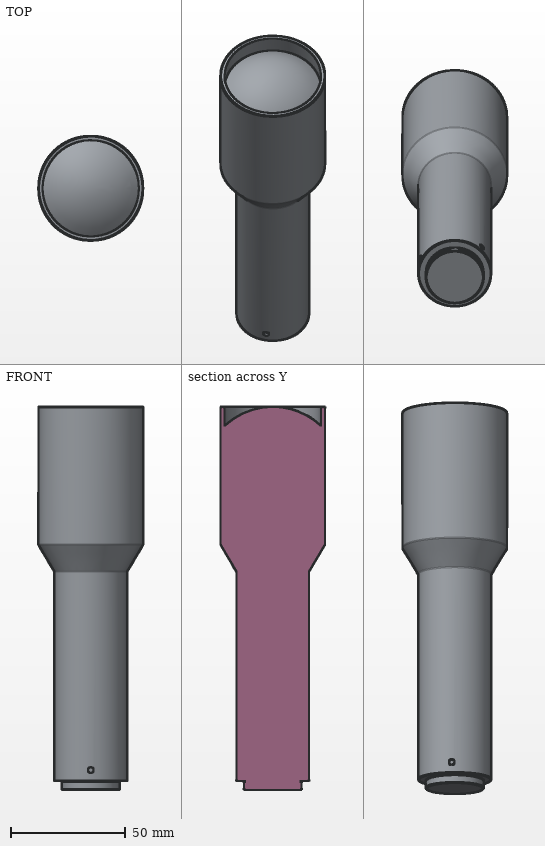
import cadquery as cq
import math

total_length = 167.6

head_diameter = 46.0
head_bottom = 107.3
rim_chamfer = 0.3
bore_diameter = 42.0
lens_edge_depth = 8.2

tube_diameter = 32.0
tube_top = 95.5
cone_fillet = 1.0
corner_margin = 0.2
ring_bottom = 3.9
ring_edge_chamfer = 0.3

mount_diameter = 25.5
relief_diameter = 24.6
relief_height = 0.3
mount_chamfer = (mount_diameter - relief_diameter) / 2

screw_hole_diameter = 2.5
screw_hole_depth = 1.7
screw_hole_height = 8.7
screw_hole_count = 3

head_radius = head_diameter / 2
bore_radius = bore_diameter / 2
tube_radius = tube_diameter / 2
mount_radius = mount_diameter / 2
relief_radius = relief_diameter / 2


def make_body():
    """Revolve the half profile; the lens apex is level with the head rim."""
    lens_edge = total_length - lens_edge_depth
    lens_radius = (bore_radius**2 + lens_edge_depth**2) / (2 * lens_edge_depth)
    half_angle = math.asin(bore_radius / lens_radius) / 2
    lens_middle = (
        lens_radius * math.sin(half_angle),
        total_length - lens_radius * (1 - math.cos(half_angle)),
    )
    profile = (
        cq.Workplane("XZ")
        .moveTo(0, 0)
        .lineTo(mount_radius - mount_chamfer, 0)
        .lineTo(mount_radius, mount_chamfer)
        .lineTo(mount_radius, ring_bottom - relief_height)
        .lineTo(relief_radius, ring_bottom - relief_height)
        .lineTo(relief_radius, ring_bottom)
        .lineTo(tube_radius - ring_edge_chamfer, ring_bottom)
        .lineTo(tube_radius, ring_bottom + ring_edge_chamfer)
        .lineTo(tube_radius, tube_top)
        .lineTo(head_radius, head_bottom)
        .lineTo(head_radius, total_length - rim_chamfer)
        .lineTo(head_radius - rim_chamfer, total_length)
        .lineTo(bore_radius, total_length)
        .lineTo(bore_radius, lens_edge)
        .threePointArc(lens_middle, (0, total_length))
        .close()
    )
    return profile.revolve(360, (0, 0, 0), (0, 1, 0))


def make_screw_hole():
    """Flat-bottomed cutter reaching inward from the ring surface on the -Y side."""
    return (
        cq.Workplane("XZ")
        .workplane(offset=tube_radius - screw_hole_depth)
        .center(0, screw_hole_height)
        .circle(screw_hole_diameter / 2)
        .extrude(2 * screw_hole_depth)
    )


def blend_cone_ends(body):
    """Round the corners where the cone meets the tube and the head."""
    for radius, height in ((tube_radius, tube_top), (head_radius, head_bottom)):
        corner = cq.selectors.BoxSelector(
            (-radius, -radius, height - corner_margin),
            (radius, radius, height + corner_margin),
        )
        body = body.edges("%CIRCLE").edges(corner).fillet(cone_fillet)
    return body


result = blend_cone_ends(make_body())
for index in range(screw_hole_count):
    turn = index * 360 / screw_hole_count
    result = result.cut(make_screw_hole().rotate((0, 0, 0), (0, 0, 1), turn))